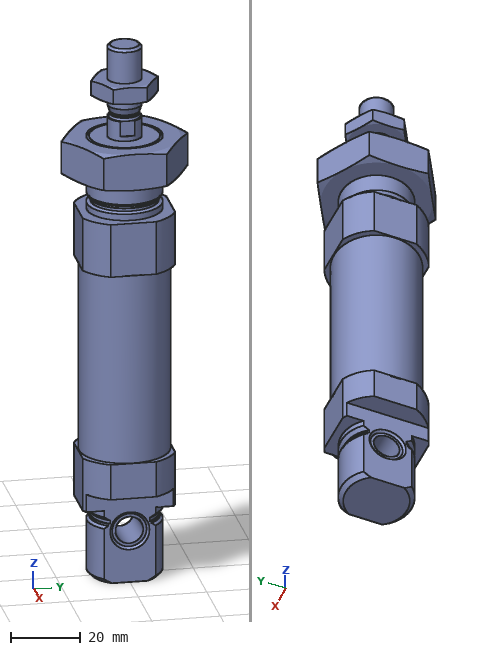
import cadquery as cq
import math

UP = 1
DOWN = -1

REAR_CAP_BASE = 22.3
REAR_SHOULDER = 27.6
REAR_CAP_TOP = 38.3
FRONT_CAP_BASE = 95.6
FRONT_CAP_TOP = 111.6
STUD_END = 133.5
ROD_END = 161.5

TUBE_DIAMETER = 26.5
CAP_WIDTH = 27.0
CAP_CORNER_DIAMETER = 30.0
STUD_DIAMETER = 22.0
STUD_CHAMFER = 0.8
GROOVE_LAND_DIAMETER = 20.3
GROOVE_LAND_LENGTH = 0.6
GROOVE_FLOOR_DIAMETER = 19.7
GROOVE_FLOOR_LENGTH = 1.0
FRONT_THREAD_BASE = 116.5
FRONT_GROOVE_WALL_LENGTH = 0.5
REAR_THREAD_TOP = 16.8
REAR_GROOVE_WALL_LENGTH = 1.1
LUG_WIDTH = 16.0
LUG_CHAMFER = 1.5
PIVOT_HEIGHT = 15.7
PIVOT_DIAMETER = 8.0
PIVOT_RECESS_DIAMETER = 10.0
PIVOT_MOUTH_DIAMETER = 11.5

ROD_DIAMETER = 10.0
ROD_TIP_CHAMFER = 0.8
ROD_LAND_DIAMETER = 8.7
ROD_NECK_DIAMETER = 8.4
ROD_THREAD_BASE = 143.3
ROD_LAND_TOP = 141.3
ROD_NECK_TOP = 140.8
ROD_NECK_BASE = 140.3
ROD_SHANK_TOP = 139.5
ROD_FLAT_WIDTH = 9.0
ROD_FLAT_BASE = 135.0
ROD_SEAT = FRONT_CAP_BASE

MOUNTING_NUT_WIDTH = 32.0
MOUNTING_NUT_HEIGHT = 11.0
ROD_NUT_WIDTH = 17.0
ROD_NUT_HEIGHT = 5.0
ROD_NUT_BASE = 146.2
NUT_CHAMFER_ANGLE = 15


def cylinder(diameter, base, top):
    return cq.Workplane("XY").workplane(offset=base).circle(diameter / 2).extrude(top - base)


def cap(base, top):
    """Square block whose corners are rounded by a coaxial cylinder."""
    block = cq.Workplane("XY").workplane(offset=base).rect(CAP_WIDTH, CAP_WIDTH).extrude(top - base)
    return block.intersect(cylinder(CAP_CORNER_DIAMETER, base, top))


def groove(thread_end, direction, wall_length):
    """Relief ring next to a thread: 45 degree chamfer, land, deeper floor and sloping end wall."""
    outer = STUD_DIAMETER / 2
    land = GROOVE_LAND_DIAMETER / 2
    floor = GROOVE_FLOOR_DIAMETER / 2
    land_start = thread_end + direction * (outer - land)
    floor_start = land_start + direction * GROOVE_LAND_LENGTH
    floor_end = floor_start + direction * GROOVE_FLOOR_LENGTH
    wall_end = floor_end + direction * wall_length
    return (
        cq.Workplane("XZ")
        .polyline([
            (outer, thread_end),
            (land, land_start),
            (land, floor_start),
            (floor, floor_start),
            (floor, floor_end),
            (outer, wall_end),
        ])
        .close()
        .revolve(360, (0, 0, 0), (0, 1, 0))
    )


def lug_sides():
    """Blocks on both sides of the rear lug, below the shoulder."""
    return (
        cq.Workplane("XY")
        .rect(2 * CAP_WIDTH, 2 * CAP_WIDTH)
        .rect(LUG_WIDTH, 2 * CAP_WIDTH)
        .extrude(REAR_SHOULDER)
    )


def pivot_hole():
    """Cross hole through the lug, with a shallow conical recess at both mouths."""
    half = LUG_WIDTH / 2
    bore = PIVOT_DIAMETER / 2
    recess = PIVOT_RECESS_DIAMETER / 2
    mouth = PIVOT_MOUTH_DIAMETER / 2
    recess_face = half - (mouth - recess)
    return (
        cq.Workplane("XY")
        .polyline([
            (-half, 0),
            (-half, mouth),
            (-recess_face, recess),
            (-recess_face, bore),
            (recess_face, bore),
            (recess_face, recess),
            (half, mouth),
            (half, 0),
        ])
        .close()
        .revolve(360, (0, 0, 0), (1, 0, 0))
        .translate((0, 0, PIVOT_HEIGHT))
    )


def make_housing():
    rear_stud = cylinder(STUD_DIAMETER, 0, REAR_CAP_BASE).faces("<Z").chamfer(LUG_CHAMFER)
    front_stud = cylinder(STUD_DIAMETER, FRONT_CAP_TOP, STUD_END).faces(">Z").chamfer(STUD_CHAMFER)
    return (
        cylinder(TUBE_DIAMETER, REAR_CAP_TOP, FRONT_CAP_BASE)
        .union(cap(REAR_CAP_BASE, REAR_CAP_TOP))
        .union(cap(FRONT_CAP_BASE, FRONT_CAP_TOP))
        .union(rear_stud)
        .union(front_stud)
        .cut(groove(FRONT_THREAD_BASE, DOWN, FRONT_GROOVE_WALL_LENGTH))
        .cut(groove(REAR_THREAD_TOP, UP, REAR_GROOVE_WALL_LENGTH))
        .cut(lug_sides())
        .cut(pivot_hole())
        .cut(cylinder(ROD_DIAMETER, ROD_SEAT, STUD_END))
    )


def make_rod():
    """Shank with two wrench flats, a relief neck and a threaded tip."""
    outer = ROD_DIAMETER / 2
    land = ROD_LAND_DIAMETER / 2
    neck = ROD_NECK_DIAMETER / 2
    shoulder = ROD_FLAT_WIDTH / 2
    turned = (
        cq.Workplane("XZ")
        .polyline([
            (0, ROD_SEAT),
            (outer, ROD_SEAT),
            (outer, ROD_SHANK_TOP),
            (shoulder, ROD_SHANK_TOP),
            (neck, ROD_NECK_BASE),
            (neck, ROD_NECK_TOP),
            (land, ROD_NECK_TOP),
            (land, ROD_LAND_TOP),
            (outer, ROD_THREAD_BASE),
            (outer, ROD_END - ROD_TIP_CHAMFER),
            (outer - ROD_TIP_CHAMFER, ROD_END),
            (0, ROD_END),
        ])
        .close()
        .revolve(360, (0, 0, 0), (0, 1, 0))
    )
    flat_cutters = (
        cq.Workplane("XY")
        .workplane(offset=ROD_FLAT_BASE)
        .rect(2 * ROD_DIAMETER, 2 * ROD_DIAMETER)
        .rect(ROD_FLAT_WIDTH, 2 * ROD_DIAMETER)
        .extrude(ROD_SHANK_TOP - ROD_FLAT_BASE)
    )
    return turned.cut(flat_cutters)


def make_nut(width, height, bore, base):
    """Hexagon nut with two sides square to X and its corners chamfered at both ends."""
    corner_radius = width / math.sqrt(3)
    flat_radius = width / 2
    drop = (corner_radius - flat_radius) * math.tan(math.radians(NUT_CHAMFER_ANGLE))
    hexagon = cq.Workplane("XY").polygon(6, 2 * corner_radius).extrude(height)
    envelope = (
        cq.Workplane("XZ")
        .polyline([
            (0, 0),
            (flat_radius, 0),
            (corner_radius, drop),
            (corner_radius, height - drop),
            (flat_radius, height),
            (0, height),
        ])
        .close()
        .revolve(360, (0, 0, 0), (0, 1, 0))
    )
    return (
        hexagon.rotate((0, 0, 0), (0, 0, 1), 30)
        .intersect(envelope)
        .cut(cylinder(bore, 0, height))
        .translate((0, 0, base))
    )


housing = make_housing()
rod = make_rod()
mounting_nut = make_nut(
    MOUNTING_NUT_WIDTH, MOUNTING_NUT_HEIGHT, STUD_DIAMETER, STUD_END - MOUNTING_NUT_HEIGHT
)
rod_nut = make_nut(ROD_NUT_WIDTH, ROD_NUT_HEIGHT, ROD_DIAMETER, ROD_NUT_BASE)

result = cq.Compound.makeCompound([housing.val(), rod.val(), mounting_nut.val(), rod_nut.val()])